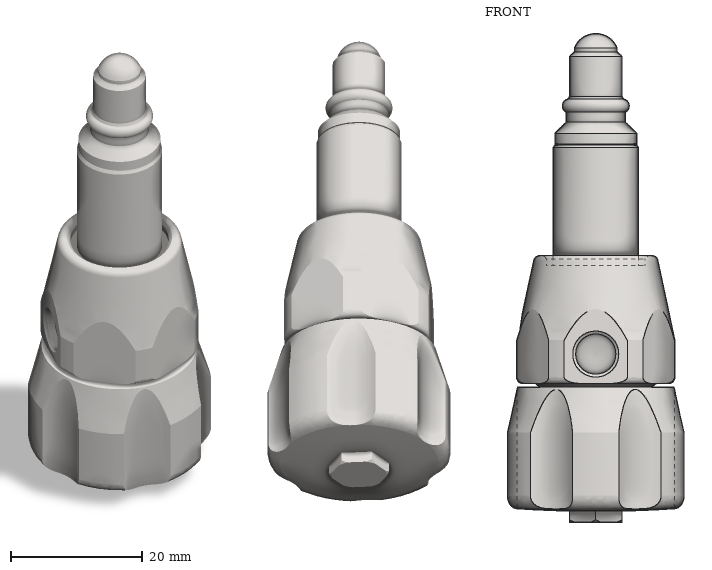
import cadquery as cq
import math

KNOB_BOTTOM_Z = 1.65
KNOB_RIM_Z = 2.2
KNOB_SHOULDER_Z = 13.6
KNOB_TOP_Z = 20.55
COLLAR_BOTTOM_Z = 21.1
COLLAR_SHOULDER_Z = 27.7
COLLAR_TOP_Z = 40.6
BARREL_SHOULDER_Z = 57.0
BARREL_TOP_Z = 57.4
GROOVE_TOP_Z = 57.6
SEAT_EDGE_Z = 59.2
NECK_BOTTOM_Z = 60.9
RING_CENTRE_Z = 63.4
RING_TOP_Z = 64.4
TIP_BASE_Z = 64.8
TIP_CHAMFER_Z = 70.9
PLUNGER_BASE_Z = 71.6
DOME_BASE_Z = 72.2
TOTAL_HEIGHT = 74.38

HEXAGON_SIDES = 6

NUT_ACROSS_FLATS = 8.0
NUT_CHAMFER = 0.4

KNOB_RADIUS = 27.91 / 2
KNOB_TOP_RADIUS = 11.9
KNOB_FILLET = 2.0
GRIP_COUNT = 6
SCALLOP_FLOOR_RADIUS = 12.0
KNOB_WIDTH_X = 26.9

JOINT_BOTTOM_RADIUS = 17.0 / 2
JOINT_TOP_RADIUS = 9.2

COLLAR_RADIUS = 12.05
COLLAR_TOP_RADIUS = 9.3
COLLAR_FLAT_DISTANCE = 11.05
COLLAR_FILLET = 1.0
COLLAR_BORE_RADIUS = 7.5
COLLAR_BORE_DEPTH = 1.5
COLLAR_BORE_CHAMFER = 0.5

RECESS_RADIUS = 6.1 / 2
RECESS_Z = 25.6
RECESS_DEPTH = 1.6
RECESS_CONE_DEPTH = 0.3
RECESS_CHAMFER = 0.45

BARREL_RADIUS = 13.0 / 2
GROOVE_RADIUS = 11.55 / 2
SEAT_RADIUS = 12.5 / 2
NECK_RADIUS = 9.0 / 2
RING_TOP_RADIUS = 8.5 / 2
RING_OUTER_RADIUS = 10.2 / 2
TIP_RADIUS = 8.0 / 2
PLUNGER_RADIUS = 6.5 / 2


def make_nut():
    corner_radius = NUT_ACROSS_FLATS / 2 / math.cos(math.pi / HEXAGON_SIDES)
    height = KNOB_RIM_Z
    hexagon = (
        cq.Workplane("XY")
        .polygon(HEXAGON_SIDES, 2 * corner_radius)
        .extrude(height)
        .rotate((0, 0, 0), (0, 0, 1), 180 / HEXAGON_SIDES)
    )
    envelope = cq.Workplane("XY").circle(corner_radius).extrude(height).faces("<Z").chamfer(NUT_CHAMFER)
    return hexagon.intersect(envelope)


def make_knob():
    dome_rise = KNOB_RIM_Z - KNOB_BOTTOM_Z
    body = (
        cq.Workplane("XZ")
        .moveTo(0, KNOB_BOTTOM_Z)
        .threePointArc((KNOB_RADIUS / 2, KNOB_BOTTOM_Z + dome_rise / 4), (KNOB_RADIUS, KNOB_RIM_Z))
        .lineTo(KNOB_RADIUS, KNOB_SHOULDER_Z)
        .lineTo(KNOB_TOP_RADIUS, KNOB_TOP_Z)
        .lineTo(0, KNOB_TOP_Z)
        .close()
        .revolve(360, (0, 0, 0), (0, 1, 0))
        .edges(cq.selectors.NearestToPointSelector((0, 0, KNOB_RIM_Z)))
        .fillet(KNOB_FILLET)
    )
    corner_x = KNOB_WIDTH_X / 2
    half_width = math.sqrt(KNOB_RADIUS**2 - corner_x**2)
    sagitta = corner_x - SCALLOP_FLOOR_RADIUS
    scallop_radius = (half_width**2 + sagitta**2) / (2 * sagitta)
    scallops = (
        cq.Workplane("XY")
        .polarArray(SCALLOP_FLOOR_RADIUS + scallop_radius, 0, 360, GRIP_COUNT)
        .circle(scallop_radius)
        .extrude(KNOB_TOP_Z)
    )
    return body.cut(scallops)


def make_joint():
    return (
        cq.Workplane("XY", origin=(0, 0, KNOB_TOP_Z))
        .circle(JOINT_BOTTOM_RADIUS)
        .workplane(offset=COLLAR_BOTTOM_Z - KNOB_TOP_Z)
        .circle(JOINT_TOP_RADIUS)
        .loft()
    )


def make_collar():
    body = (
        cq.Workplane("XZ")
        .moveTo(0, COLLAR_BOTTOM_Z)
        .lineTo(COLLAR_RADIUS, COLLAR_BOTTOM_Z)
        .lineTo(COLLAR_RADIUS, COLLAR_SHOULDER_Z)
        .lineTo(COLLAR_TOP_RADIUS, COLLAR_TOP_Z)
        .lineTo(0, COLLAR_TOP_Z)
        .close()
        .revolve(360, (0, 0, 0), (0, 1, 0))
        .faces("<Z or >Z")
        .edges()
        .fillet(COLLAR_FILLET)
    )
    flats = (
        cq.Workplane("XY", origin=(0, 0, COLLAR_BOTTOM_Z))
        .polygon(HEXAGON_SIDES, 2 * COLLAR_FLAT_DISTANCE / math.cos(math.pi / HEXAGON_SIDES))
        .extrude(COLLAR_TOP_Z - COLLAR_BOTTOM_Z)
    )
    return body.intersect(flats).cut(make_collar_bore()).cut(make_recess())


def make_collar_bore():
    mouth_radius = COLLAR_BORE_RADIUS + COLLAR_BORE_CHAMFER
    floor_z = COLLAR_TOP_Z - COLLAR_BORE_DEPTH
    return (
        cq.Workplane("XZ")
        .moveTo(0, floor_z)
        .lineTo(COLLAR_BORE_RADIUS, floor_z)
        .lineTo(COLLAR_BORE_RADIUS, COLLAR_TOP_Z - COLLAR_BORE_CHAMFER)
        .lineTo(mouth_radius, COLLAR_TOP_Z)
        .lineTo(0, COLLAR_TOP_Z)
        .close()
        .revolve(360, (0, 0, 0), (0, 1, 0))
    )


def make_recess():
    mouth_y = -COLLAR_FLAT_DISTANCE
    floor_y = mouth_y + RECESS_DEPTH
    return (
        cq.Workplane("XY", origin=(0, 0, RECESS_Z))
        .moveTo(0, mouth_y)
        .lineTo(RECESS_RADIUS + RECESS_CHAMFER, mouth_y)
        .lineTo(RECESS_RADIUS, mouth_y + RECESS_CHAMFER)
        .lineTo(RECESS_RADIUS, floor_y)
        .lineTo(0, floor_y + RECESS_CONE_DEPTH)
        .close()
        .revolve(360, (0, 0, 0), (0, 1, 0))
    )


def make_stem():
    base_z = KNOB_TOP_Z
    ring_bottom_z = 2 * RING_CENTRE_Z - RING_TOP_Z
    dome_height = TOTAL_HEIGHT - DOME_BASE_Z
    dome_radius = (PLUNGER_RADIUS**2 + dome_height**2) / (2 * dome_height)
    dome_mid_radius = PLUNGER_RADIUS / 2
    dome_mid_z = TOTAL_HEIGHT - dome_radius + math.sqrt(dome_radius**2 - dome_mid_radius**2)
    return (
        cq.Workplane("XZ")
        .moveTo(0, base_z)
        .lineTo(BARREL_RADIUS, base_z)
        .lineTo(BARREL_RADIUS, BARREL_SHOULDER_Z)
        .lineTo(SEAT_RADIUS, BARREL_TOP_Z)
        .lineTo(GROOVE_RADIUS, BARREL_TOP_Z)
        .lineTo(GROOVE_RADIUS, GROOVE_TOP_Z)
        .lineTo(SEAT_RADIUS, GROOVE_TOP_Z)
        .lineTo(SEAT_RADIUS, SEAT_EDGE_Z)
        .lineTo(NECK_RADIUS, NECK_BOTTOM_Z)
        .lineTo(NECK_RADIUS, ring_bottom_z)
        .threePointArc((RING_OUTER_RADIUS, RING_CENTRE_Z), (RING_TOP_RADIUS, RING_TOP_Z))
        .lineTo(TIP_RADIUS, TIP_BASE_Z)
        .lineTo(TIP_RADIUS, TIP_CHAMFER_Z)
        .lineTo(PLUNGER_RADIUS, PLUNGER_BASE_Z)
        .lineTo(PLUNGER_RADIUS, DOME_BASE_Z)
        .threePointArc((dome_mid_radius, dome_mid_z), (0, TOTAL_HEIGHT))
        .close()
        .revolve(360, (0, 0, 0), (0, 1, 0))
    )


result = make_nut()
for section in (make_knob(), make_joint(), make_collar(), make_stem()):
    result = result.union(section)